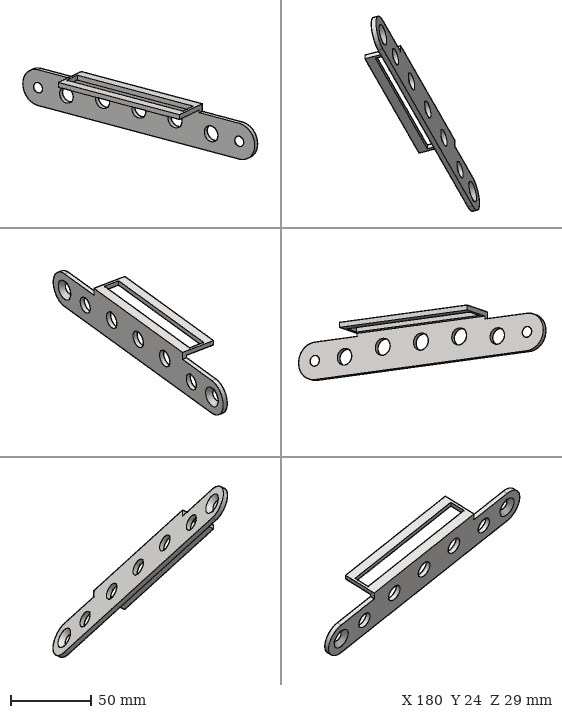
import cadquery as cq

plate_length = 180.0
plate_height = 24.0
thickness = 3.2

total_height = 29.0
shelf_width = 94.0
shelf_depth = 24.0
slot_length = 90.0
slot_width = 10.8
slot_back_offset = 6.8

end_hole_diameter = 6.7
end_hole_back_diameter = end_hole_diameter + 2 * thickness
end_hole_spacing = plate_length - plate_height
hole_diameter = 10.5
hole_pitch = 28.0
raised_hole_diameter = 10.8
raised_hole_rise = 3.0

mid_height = plate_height / 2


def block(width, depth, height, back, bottom):
    """Box centred in X that runs forward (-Y) from its back face."""
    return (
        cq.Workplane("XY")
        .box(width, depth, height, centered=(True, False, False))
        .translate((0, back - depth, bottom))
    )


def plate_holes(centres, diameter):
    """Round cutters through the plate at (x, z) centres."""
    return cq.Workplane("XZ").pushPoints(centres).circle(diameter / 2).extrude(thickness)


plate = (
    cq.Workplane("XZ")
    .center(0, mid_height)
    .slot2D(plate_length, plate_height)
    .extrude(thickness)
)

web = block(shelf_width, thickness, total_height - mid_height, 0, mid_height)
shelf_bottom = total_height - thickness
shelf = block(shelf_width, shelf_depth, thickness, 0, shelf_bottom)
slot = block(slot_length, slot_width, thickness, -slot_back_offset, shelf_bottom)

result = plate.union(web).union(shelf).cut(slot)

end_centres = [(side * end_hole_spacing / 2, mid_height) for side in (-1, 1)]
outer_centres = [(side * 2 * hole_pitch, mid_height) for side in (-1, 1)]
raised_centres = [(i * hole_pitch, mid_height + raised_hole_rise) for i in (-1, 0, 1)]

result = result.cut(plate_holes(outer_centres, hole_diameter))
result = result.cut(plate_holes(raised_centres, raised_hole_diameter))

for x, z in end_centres:
    countersink = (
        cq.Workplane("XZ", origin=(x, 0, z))
        .circle(end_hole_back_diameter / 2)
        .workplane(offset=thickness)
        .circle(end_hole_diameter / 2)
        .loft()
    )
    result = result.cut(countersink)